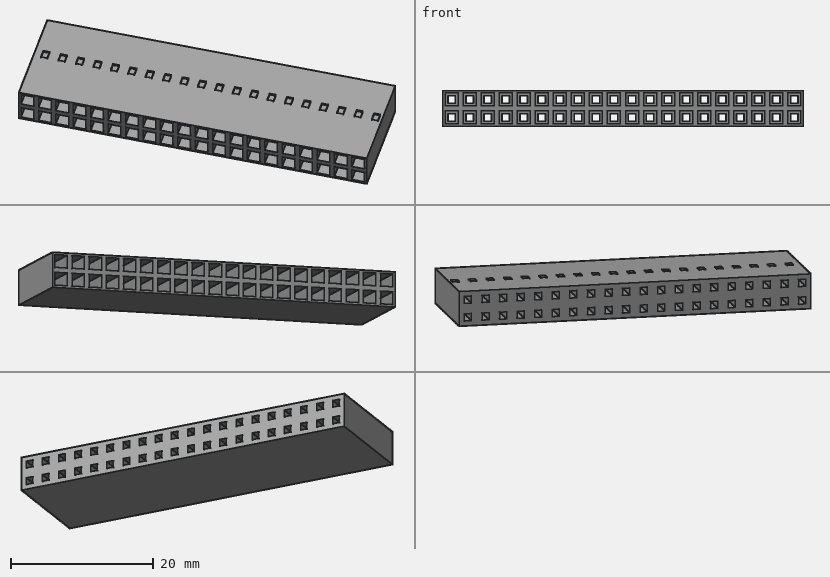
import cadquery as cq

LENGTH = 50.75
DEPTH = 15.25
HEIGHT = 5.05

COLUMNS = 20
ROWS = 2
PITCH = LENGTH / COLUMNS
CAVITY_SIDE = 1.85
CAVITY_DEPTH = DEPTH / 2
HOLE_SIDE = 1.0

POCKET_WIDTH = 0.9
POCKET_LENGTH = 1.3
POCKET_DEPTH = 0.25
POCKET_SETBACK = 8.45
POCKET_SHIFT = 0.3

FRONT_Y = -DEPTH / 2
TOP_Z = HEIGHT / 2


def square_passages(side, depth):
    """Square prisms on the cavity grid, running back from the front face."""
    return (
        cq.Workplane("XZ", origin=(0, FRONT_Y, 0))
        .rarray(PITCH, PITCH, COLUMNS, ROWS)
        .rect(side, side)
        .extrude(-depth)
    )


def latch_pockets():
    """Row of rectangular prisms reaching down from the top face."""
    return (
        cq.Workplane("XY", origin=(POCKET_SHIFT, FRONT_Y + POCKET_SETBACK, TOP_Z))
        .rarray(PITCH, PITCH, COLUMNS, 1)
        .rect(POCKET_WIDTH, POCKET_LENGTH)
        .extrude(-POCKET_DEPTH)
    )


housing = cq.Workplane("XY").box(LENGTH, DEPTH, HEIGHT)
housing = housing.cut(square_passages(CAVITY_SIDE, CAVITY_DEPTH))
housing = housing.cut(square_passages(HOLE_SIDE, DEPTH))
result = housing.cut(latch_pockets())